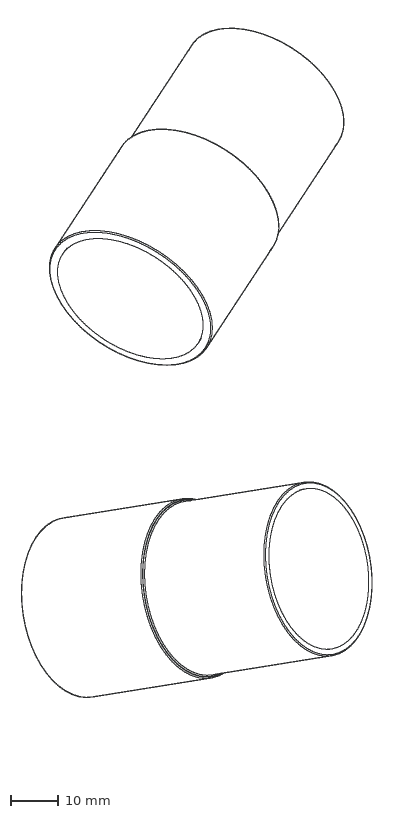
import cadquery as cq

length = 65.0
large_diameter = 38.4
small_diameter = 37.2
bore_diameter = 34.3

bevel = 0.25

half_length = length / 2
large_radius = large_diameter / 2
small_radius = small_diameter / 2
bore_radius = bore_diameter / 2


def wall_section():
    """Wall section as (radius, Y) points, from the large end to the small end."""
    return (
        cq.Workplane("XY")
        .moveTo(bore_radius, -half_length)
        .lineTo(large_radius - bevel, -half_length)
        .lineTo(large_radius, -half_length + bevel)
        .lineTo(large_radius, -bevel)
        .lineTo(large_radius - bevel, 0)
        .lineTo(small_radius + bevel, 0)
        .lineTo(small_radius, bevel)
        .lineTo(small_radius, half_length - bevel)
        .lineTo(small_radius - bevel, half_length)
        .lineTo(bore_radius, half_length)
        .close()
    )


axis_start = (0, 0, 0)
axis_end = (0, 1, 0)
result = wall_section().revolve(360, axis_start, axis_end)